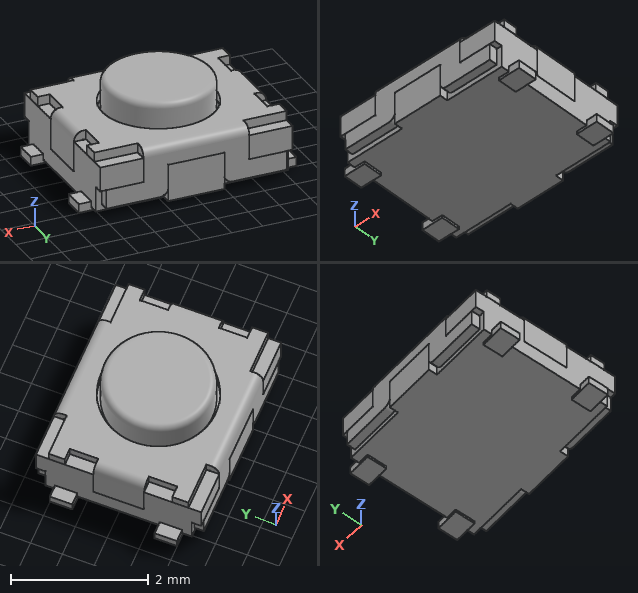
import cadquery as cq

base_length = 3.095
base_width = 2.6
cover_top = 0.945
button_top = 1.35

sheet = 0.15
front_notch_depth = 0.203
side_notch_depth = 0.192
front_bend_half = 0.85
side_tab_half = 0.4
side_tab_bottom = 0.3
side_tab_corner_radius = 0.02
side_notch_end = 0.845
flap_foot_half = 1.45
flap_foot_top = 0.402
flap_bottom = 0.098
flap_corner_width = 0.125
flap_corner_height = 0.088

block_half = 0.455
block_top = 0.6
button_radius = 0.847
button_gap = 0.052
button_edge_radius = 0.105

pin_reach = 1.75
pin_inner_end = 1.348
pin_width = 0.355
pin_center_y = 0.822
pin_bottom = -0.05
pin_top = 0.098

half_length = base_length / 2
half_width = base_width / 2
cover_underside = cover_top - sheet
flap_corner_radius = (flap_corner_width**2 + flap_corner_height**2) / (2 * flap_corner_height)


def box(x_range, y_range, z_range):
    """Axis-aligned box between pairs of limits."""
    size = [high - low for low, high in (x_range, y_range, z_range)]
    return cq.Workplane("XY").box(*size, centered=False).translate((x_range[0], y_range[0], z_range[0]))


def make_top_plate():
    """Flat top of the cover, notched at the corners and beside the side tabs."""
    plate = box((-half_length, half_length), (-half_width, half_width), (cover_underside, cover_top))
    for side in (-1, 1):
        for end in (-1, 1):
            corner_x = sorted((end * front_bend_half, end * half_length))
            corner_y = sorted((side * (half_width - front_notch_depth), side * half_width))
            plate = plate.cut(box(corner_x, corner_y, (cover_underside, cover_top)))
            notch_x = sorted((end * (half_length - side_notch_depth), end * half_length))
            notch_y = sorted((side * side_tab_half, side * side_notch_end))
            plate = plate.cut(box(notch_x, notch_y, (cover_underside, cover_top)))
    return plate


def make_flap():
    """Front flap: narrow at the bend, wide at the foot, straddling the middle block of the base."""
    return (
        cq.Workplane("XZ", origin=(0, -half_width + sheet, 0))
        .moveTo(-front_bend_half, cover_top)
        .lineTo(-front_bend_half, flap_foot_top)
        .lineTo(-flap_foot_half, flap_foot_top)
        .lineTo(-flap_foot_half, flap_bottom)
        .lineTo(-block_half - flap_corner_width, flap_bottom)
        .radiusArc((-block_half, flap_bottom + flap_corner_height), -flap_corner_radius)
        .lineTo(-block_half, block_top)
        .lineTo(block_half, block_top)
        .lineTo(block_half, flap_bottom + flap_corner_height)
        .radiusArc((block_half + flap_corner_width, flap_bottom), -flap_corner_radius)
        .lineTo(flap_foot_half, flap_bottom)
        .lineTo(flap_foot_half, flap_foot_top)
        .lineTo(front_bend_half, flap_foot_top)
        .lineTo(front_bend_half, cover_top)
        .close()
        .extrude(sheet)
    )


def make_side_tab():
    """Tab bent down over the -X side of the base."""
    return box(
        (-half_length, -half_length + sheet),
        (-side_tab_half, side_tab_half),
        (side_tab_bottom, cover_top),
    ).edges("|X and <Z").fillet(side_tab_corner_radius)


def round_bend(cover, x, y):
    """Round the outer top edge whose midpoint lies at (x, y)."""
    return cover.edges(cq.selectors.NearestToPointSelector((x, y, cover_top))).fillet(sheet)


def make_cover():
    """Sheet cover with four sides bent down and rounded bends."""
    flap = make_flap()
    tab = make_side_tab()
    cover = make_top_plate()
    for wall in (flap, flap.mirror("XZ"), tab, tab.mirror("YZ")):
        cover = cover.union(wall)
    for side in (-1, 1):
        cover = round_bend(cover, 0, side * half_width)
        cover = round_bend(cover, side * half_length, 0)
    hole = cq.Workplane("XY").circle(button_radius + button_gap).extrude(cover_top)
    return cover.cut(hole)


def make_base_block(cover):
    """Base with its lower corners recessed for the flaps, hollowed where the cover lies against it."""
    block = box((-half_length, half_length), (-half_width, half_width), (0, cover_underside))
    for side in (-1, 1):
        recess_y = sorted((side * (half_width - sheet), side * half_width))
        for end in (-1, 1):
            recess_x = sorted((end * block_half, end * half_length))
            block = block.cut(box(recess_x, recess_y, (0, flap_foot_top)))
    return block.cut(cover)


def make_button():
    """Round button standing on the top of the base."""
    return (
        cq.Workplane("XY", origin=(0, 0, cover_underside))
        .circle(button_radius)
        .extrude(button_top - cover_underside)
        .faces(">Z")
        .edges()
        .fillet(button_edge_radius)
    )


def make_pin(end, side):
    """Solder pin at one end (-1 or 1 along X) and one side (-1 or 1 along Y)."""
    pin_x = sorted((end * pin_inner_end, end * pin_reach))
    pin_y = side * pin_center_y
    return box(pin_x, (pin_y - pin_width / 2, pin_y + pin_width / 2), (pin_bottom, pin_top))


def make_base(cover):
    """Base in one piece with the button and the four pins."""
    base = make_base_block(cover).union(make_button())
    for end in (-1, 1):
        for side in (-1, 1):
            base = base.union(make_pin(end, side))
    return base


cover = make_cover()
base = make_base(cover)
result = cq.Compound.makeCompound([cover.val(), base.val()])